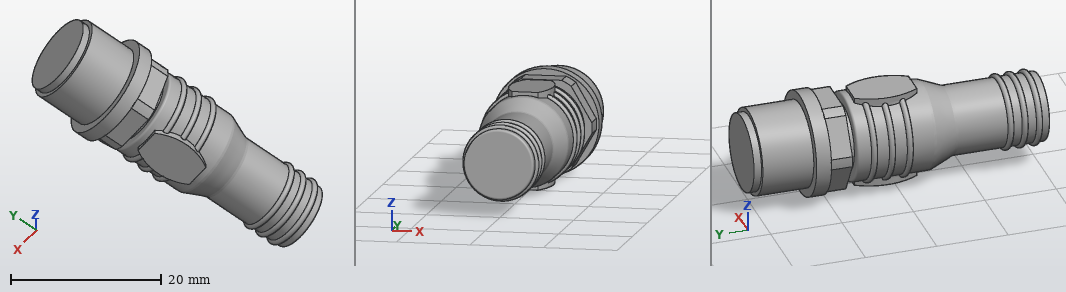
import cadquery as cq
import math

length = 41.7
taper_start = 13.0
body_start = 16.45
body_end = 27.45
hex_start = 28.4
flange_start = 31.45
flange_end = 33.53
tip_start = 40.65

tube_radius = 4.75
body_radius = 6.17
flange_radius = 7.25
sleeve_radius = 6.0
tip_radius = 5.42

end_fillet = 0.3
taper_fillet = 1.0

hex_apothem = 6.35
hex_corner_radius = 6.92

ring_section_radius = 0.4
tube_ring_first = 1.5
tube_ring_pitch = 2.0
body_ring_first = 20.05
body_ring_pitch = 2.5
rings_per_group = 3

pad_center = 22.1
pad_length = 8.75
pad_end_width = 3.55
pad_middle_width = 6.0
pad_height = 6.65


def cylinder(radius, start, end):
    """Solid cylinder on the Y axis between two stations."""
    return cq.Workplane("XZ", origin=(0, start, 0)).circle(radius).extrude(start - end)


def turned_cable_side():
    """Tube, taper and body, with rounded edges."""
    turned = (
        cq.Workplane("XY")
        .moveTo(0, 0)
        .lineTo(tube_radius, 0)
        .lineTo(tube_radius, taper_start)
        .lineTo(body_radius, body_start)
        .lineTo(body_radius, body_end)
        .lineTo(0, body_end)
        .close()
        .revolve(360, (0, 0, 0), (0, 1, 0))
    )

    def circles_at(station):
        """Select the circular edges at a station."""
        margin = 0.05
        reach = 2 * body_radius
        return cq.selectors.BoxSelector(
            (-reach, station - margin, -reach), (reach, station + margin, reach), boundingbox=True
        )

    for station in (taper_start, body_start):
        turned = turned.edges(circles_at(station)).fillet(taper_fillet)
    for station in (0, body_end):
        turned = turned.edges(circles_at(station)).fillet(end_fillet)
    return turned


def ring_group(seat_radius, first, pitch):
    """Evenly spaced half-round rings standing on a cylinder of the seat radius."""
    rings = cq.Workplane("XY")
    root_radius = seat_radius - ring_section_radius
    for index in range(rings_per_group):
        middle = first + index * pitch
        start = middle - ring_section_radius
        end = middle + ring_section_radius
        ring = (
            cq.Workplane("XY")
            .moveTo(root_radius, start)
            .lineTo(seat_radius, start)
            .threePointArc((seat_radius + ring_section_radius, middle), (seat_radius, end))
            .lineTo(root_radius, end)
            .close()
            .revolve(360, (0, 0, 0), (0, 1, 0))
        )
        rings = rings.union(ring)
    return rings


def pads():
    """Pad through the body, showing a flat face on the top and the bottom."""
    half_length = pad_length / 2
    half_end = pad_end_width / 2
    half_middle = pad_middle_width / 2
    return (
        cq.Workplane("XY", origin=(0, pad_center, 0))
        .moveTo(-half_end, -half_length)
        .lineTo(half_end, -half_length)
        .threePointArc((half_middle, 0), (half_end, half_length))
        .lineTo(-half_end, half_length)
        .threePointArc((-half_middle, 0), (-half_end, -half_length))
        .close()
        .extrude(pad_height, both=True)
    )


def hexagon():
    """Hexagon with flats facing up and down and rounded corners."""
    corner_diameter = 2 * hex_apothem / math.cos(math.pi / 6)
    prism = (
        cq.Workplane("XZ", origin=(0, hex_start, 0))
        .polygon(6, corner_diameter)
        .extrude(hex_start - flange_start)
    )
    return prism.intersect(cylinder(hex_corner_radius, hex_start, flange_start))


result = (
    turned_cable_side()
    .union(ring_group(tube_radius, tube_ring_first, tube_ring_pitch))
    .union(ring_group(body_radius, body_ring_first, body_ring_pitch))
    .union(pads())
    .union(cylinder(tube_radius, body_end, hex_start))
    .union(hexagon())
    .union(cylinder(flange_radius, flange_start, flange_end))
    .union(cylinder(sleeve_radius, flange_end, tip_start))
    .union(cylinder(tip_radius, tip_start, length))
)